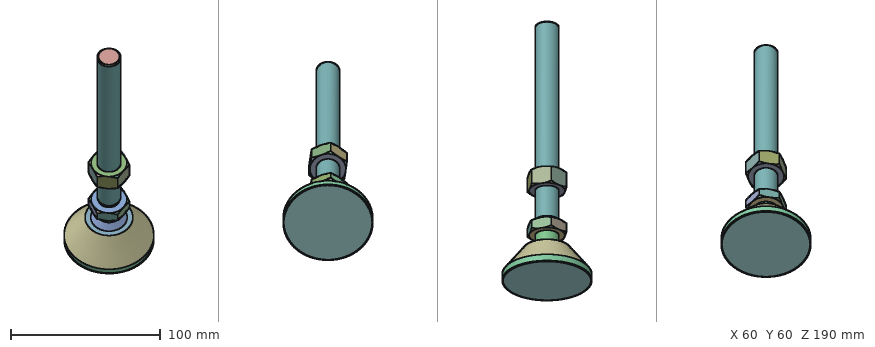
import cadquery as cq
import math

total_height = 190.0
foot_diameter = 60.0
foot_top_diameter = 32.0
rim_height = 5.1
foot_height = 23.4

pad_diameter = 58.9
pad_height = 0.5

rod_diameter = 16.0
rod_end_chamfer = 1.0
undercut_diameter = 14.0
undercut_height = 2.8
cone_top = 27.4
flare_diameter = 24.3
socket_floor = 17.1

hex_width = 24.0
hex_half_angle = 30.0
hex_chamfer_angle = 30.0
collar_bottom = 34.0
collar_height = 8.0
nut_bottom = 67.3
nut_height = 12.5


def chamfered_hexagon(bottom, height):
    """Hexagonal prism whose corners are turned to a cone at both ends."""
    corner_diameter = hex_width / math.cos(math.radians(hex_half_angle))
    corner_radius = corner_diameter / 2
    flat_radius = hex_width / 2
    drop = (corner_radius - flat_radius) * math.tan(math.radians(hex_chamfer_angle))
    prism = (
        cq.Workplane("XY", origin=(0, 0, bottom))
        .transformed(rotate=(0, 0, hex_half_angle))
        .polygon(6, corner_diameter)
        .extrude(height)
    )
    turned_envelope = (
        cq.Workplane("XZ", origin=(0, 0, bottom))
        .polyline([
            (0, 0),
            (flat_radius, 0),
            (corner_radius, drop),
            (corner_radius, height - drop),
            (flat_radius, height),
            (0, height),
        ])
        .close()
        .revolve(360, (0, 0), (0, 1))
    )
    return prism.intersect(turned_envelope)


def make_spindle():
    """Threaded rod with an undercut, a hexagonal collar and a flared lower end."""
    rod_radius = rod_diameter / 2
    undercut_radius = undercut_diameter / 2
    flare_radius = flare_diameter / 2
    undercut_top = collar_bottom + collar_height + undercut_height
    turned = (
        cq.Workplane("XZ")
        .polyline([
            (0, socket_floor),
            (flare_radius, socket_floor),
            (flare_radius, foot_height),
            (rod_radius, cone_top),
            (rod_radius, collar_bottom),
            (undercut_radius, collar_bottom),
            (undercut_radius, undercut_top),
            (rod_radius, undercut_top),
            (rod_radius, total_height - rod_end_chamfer),
            (rod_radius - rod_end_chamfer, total_height),
            (0, total_height),
        ])
        .close()
        .revolve(360, (0, 0), (0, 1))
    )
    return turned.union(chamfered_hexagon(collar_bottom, collar_height))


def make_foot():
    """Conical foot with a cylindrical rim and a socket for the spindle."""
    return (
        cq.Workplane("XZ")
        .polyline([
            (0, pad_height),
            (foot_diameter / 2, pad_height),
            (foot_diameter / 2, rim_height),
            (foot_top_diameter / 2, foot_height),
            (flare_diameter / 2, foot_height),
            (flare_diameter / 2, socket_floor),
            (0, socket_floor),
        ])
        .close()
        .revolve(360, (0, 0), (0, 1))
    )


def make_pad():
    """Flat anti-slip disc, slightly narrower than the foot it supports."""
    return cq.Workplane("XY").circle(pad_diameter / 2).extrude(pad_height)


def make_nut():
    """Chamfered hexagonal nut fitted closely around the rod."""
    bore = cq.Workplane("XY", origin=(0, 0, nut_bottom)).circle(rod_diameter / 2).extrude(nut_height)
    return chamfered_hexagon(nut_bottom, nut_height).cut(bore)


pad = make_pad()
foot = make_foot()
spindle = make_spindle()
nut = make_nut()

result = cq.Compound.makeCompound([pad.val(), foot.val(), spindle.val(), nut.val()])